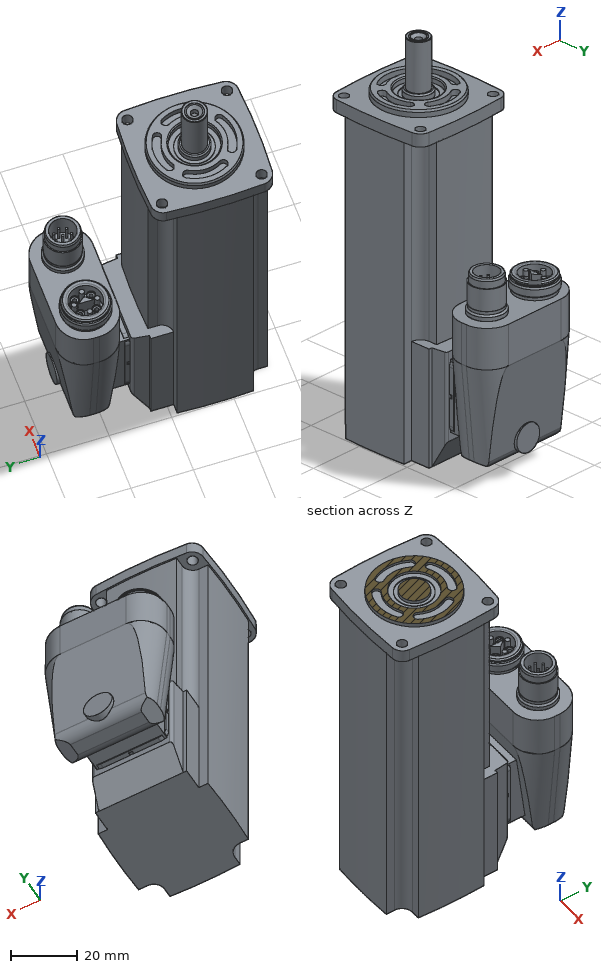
import cadquery as cq
import math


FLANGE_HALF = 20.0
BODY_HALF = 19.5
SIDE_BOW_RADIUS = 200.0
FLANGE_CORNER_RADIUS = 4.0
SHAFT_END_Z = 134.0
SHAFT_LENGTH = 20.0
FLANGE_TOP_Z = SHAFT_END_Z - SHAFT_LENGTH
FLANGE_THICKNESS = 4.5
FLANGE_BOTTOM_Z = FLANGE_TOP_Z - FLANGE_THICKNESS
BOLT_CIRCLE_DIAMETER = 45.0
BOLT_OFFSET = BOLT_CIRCLE_DIAMETER / 2 / math.sqrt(2)
BOLT_HOLE_DIAMETER = 3.4
NOTCH_INNER = 12.2
NOTCH_RADIUS = 3.8

PILOT_DIAMETER = 30.0
PILOT_HEIGHT = 2.5
PILOT_TOP_Z = FLANGE_TOP_Z + PILOT_HEIGHT
PILOT_CHAMFER_HEIGHT = 0.75
PILOT_CHAMFER_WIDTH = 0.4
RECESS_DIAMETER = 16.0
RECESS_DEPTH = 2.0
RECESS_CHAMFER = 0.4
SEAL_DIAMETER = 12.6
SEAL_DEPTH = 0.3
SLOT_RADIUS = 11.5
SLOT_WIDTH = 2.8
SLOT_HALF_ANGLE = 30.0
SLOT_DEPTH = 2.0

SHAFT_DIAMETER = 8.0
SHAFT_CHAMFER = 0.2
COLLAR_DIAMETER = 10.0
COLLAR_TOP_Z = PILOT_TOP_Z
COLLAR_CHAMFER = 0.5
CENTRE_HOLE_DIAMETER = 2.46
CENTRE_HOLE_DEPTH = 3.0
DRILL_POINT_ANGLE = 118.0
DRILL_POINT_HEIGHT = CENTRE_HOLE_DIAMETER / 2 / math.tan(math.radians(DRILL_POINT_ANGLE / 2))
COUNTERSINK_DIAMETER = 5.0
COUNTERSINK_DEPTH = 0.8
END_RECESS_DIAMETER = 6.0
END_RECESS_DEPTH = 0.2

BOX_TOP_Z = 40.5
BOX_FACE_Y = 25.0
BOX_FACE_HALF = 14.0
BOX_BASE_HALF = 14.7
BOX_CORNER_RADIUS = 1.0
BOX_CHAMFER_TOP_Z = 10.0
NOTCH_FILLER_HALF = 15.9

NECK_CENTRE_Z = 25.2
RING_WIDTH = 25.5
RING_HEIGHT = 25.6
RING_CORNER_RADIUS = 2.8
RING_THICKNESS = 1.6
RING_KEYWAY_WIDTH = 1.2
RING_KEYWAY_LENGTH = 0.9
RING_KEYWAY_DEPTH = 0.2
NECK_WIDTH = 24.4
NECK_HEIGHT = 24.8

HOUSING_WIDTH = 41.0
HOUSING_DEPTH = 20.0
HOUSING_CORNER_RADIUS = 9.0
OVERALL_DEPTH = 68.42
HOUSING_BACK_Y = OVERALL_DEPTH - FLANGE_HALF
HOUSING_Y = HOUSING_BACK_Y - HOUSING_DEPTH / 2
HOUSING_TOP_Z = 57.6
TAPER_START_Z = 43.5
TAPER_END_Z = 7.6
TIP_WIDTH = 33.8
TIP_DEPTH = 10.9
TIP_SIDE_CUT_HEIGHT = 2.0
TIP_SIDE_CUT_LENGTH = 4.5
TIP_ROUND_RADIUS = 3.2
BOSS_DIAMETER = 10.0
BOSS_FACE_Y = 45.7
BOSS_CENTRE_Z = 13.8

CONNECTOR_X = 10.5
CONNECTOR_EMBED = 0.5
POWER_TOP_Z = 63.7
POWER_BASE_DIAMETER = 14.77
POWER_COLLAR_DIAMETER = 16.0
POWER_COLLAR_BOTTOM_Z = 59.2
POWER_COLLAR_TOP_Z = 61.6
POWER_COLLAR_CHAMFER = 0.6
POWER_SHOULDER_DIAMETER = 15.2
POWER_GROOVE_DIAMETER = 14.0
POWER_GROOVE_WIDTH = 0.6
POWER_RIM_DIAMETER = 15.0
POWER_RIM_TOP_DIAMETER = 14.0
POWER_RIM_CHAMFER = 0.4
POWER_BORE_DIAMETER = 10.77
POWER_BORE_MOUTH_DIAMETER = 12.0
POWER_BORE_CHAMFER_HEIGHT = 0.2
POWER_FLOOR_Z = 58.5
POWER_CONTACT_RADIUS = 3.7
POWER_PIN_DIAMETER = 1.65
POWER_PIN_TOP_Z = 63.0
POWER_SOCKET_DIAMETER = 2.8
POWER_SOCKET_MOUTH_DIAMETER = 2.46
POWER_SOCKET_MOUTH_DEPTH = 0.5
POWER_SOCKET_BORE = 1.25
POWER_SOCKET_TOP_Z = 61.5
POST_FLAT_X = -0.4
POST_POINT_X = 1.5
POST_HALF_LENGTH = 2.6
POST_TOP_Z = 63.4
SIGNAL_TOP_Z = 71.7
SIGNAL_NECK_DIAMETER = 11.8
SIGNAL_COLLAR_DIAMETER = 13.0
SIGNAL_COLLAR_BOTTOM_Z = 57.9
SIGNAL_COLLAR_TOP_Z = 59.3
SIGNAL_COLLAR_CHAMFER = 0.6
SIGNAL_BODY_DIAMETER = 12.0
SIGNAL_BODY_BOTTOM_Z = 61.0
SIGNAL_BODY_TOP_Z = 68.6
SIGNAL_NOSE_DIAMETER = 11.2
SIGNAL_NOSE_TOP_DIAMETER = 10.6
SIGNAL_NOSE_CHAMFER = 0.7
SIGNAL_BORE_DIAMETER = 8.6
SIGNAL_FLOOR_Z = 64.0
SIGNAL_PIN_DIAMETER = 0.8
SIGNAL_PIN_TOP_Z = 69.0
SIGNAL_PIN_RADIUS = 2.75
SIGNAL_PIN_COUNT = 7
SIGNAL_FIRST_PIN_ANGLE = 8.0


def cylinder(x, y, bottom_z, top_z, diameter):
    return cq.Workplane("XY", origin=(x, y, bottom_z)).circle(diameter / 2).extrude(top_z - bottom_z)


def turned(profile, x=0.0, y=0.0):
    """Revolve (diameter, z) points around the vertical axis through (x, y)."""
    outline = [(diameter / 2, z) for diameter, z in profile]
    if profile[0][0] > 0:
        outline.insert(0, (0, profile[0][1]))
    outline.append((0, profile[-1][1]))
    solid = cq.Workplane("XZ").polyline(outline).close().revolve(360, (0, 0), (0, 1))
    return solid.translate((x, y, 0))


def ring_points(centre_x, centre_y, radius, count, first_angle):
    points = []
    for index in range(count):
        angle = math.radians(first_angle + 360 * index / count)
        points.append((centre_x + radius * math.cos(angle), centre_y + radius * math.sin(angle)))
    return points


def bowed_square(half, bottom_z, top_z):
    """Square block whose four sides bulge outward to the given half width."""
    inset = half - SIDE_BOW_RADIUS
    corner = (inset + math.sqrt(2 * SIDE_BOW_RADIUS**2 - inset**2)) / 2
    outline = (
        cq.Workplane("XY", origin=(0, 0, bottom_z))
        .moveTo(-corner, -corner)
        .threePointArc((0, -half), (corner, -corner))
        .threePointArc((half, 0), (corner, corner))
        .threePointArc((0, half), (-corner, corner))
        .threePointArc((-half, 0), (-corner, -corner))
        .close()
    )
    return outline.extrude(top_z - bottom_z)


def make_body():
    body = bowed_square(BODY_HALF, 0, FLANGE_BOTTOM_Z)
    notch_size = FLANGE_HALF
    notch_centre = NOTCH_INNER + notch_size / 2
    notch = cq.Workplane("XY").rect(notch_size, notch_size).extrude(FLANGE_BOTTOM_Z)
    notch = notch.edges("|Z").fillet(NOTCH_RADIUS)
    for x_side in (-1, 1):
        for y_side in (-1, 1):
            body = body.cut(notch.translate((x_side * notch_centre, y_side * notch_centre, 0)))
    return body


def make_flange():
    flange = bowed_square(FLANGE_HALF, FLANGE_BOTTOM_Z, FLANGE_TOP_Z)
    flange = flange.edges("|Z").fillet(FLANGE_CORNER_RADIUS)
    pilot = turned(
        [
            (PILOT_DIAMETER, FLANGE_TOP_Z),
            (PILOT_DIAMETER, PILOT_TOP_Z - PILOT_CHAMFER_HEIGHT),
            (PILOT_DIAMETER - 2 * PILOT_CHAMFER_WIDTH, PILOT_TOP_Z),
        ]
    )
    flange = flange.union(pilot)
    for x_side in (-1, 1):
        for y_side in (-1, 1):
            hole = cylinder(
                x_side * BOLT_OFFSET, y_side * BOLT_OFFSET, FLANGE_BOTTOM_Z, FLANGE_TOP_Z, BOLT_HOLE_DIAMETER
            )
            flange = flange.cut(hole)
    return flange.cut(face_recess()).cut(face_slots())


def face_recess():
    """Round recess around the shaft, with a slightly lower seal seat in its floor."""
    floor_z = PILOT_TOP_Z - RECESS_DEPTH
    recess = turned(
        [
            (RECESS_DIAMETER, floor_z),
            (RECESS_DIAMETER, PILOT_TOP_Z - RECESS_CHAMFER),
            (RECESS_DIAMETER + 2 * RECESS_CHAMFER, PILOT_TOP_Z),
        ]
    )
    return recess.union(cylinder(0, 0, floor_z - SEAL_DEPTH, floor_z, SEAL_DIAMETER))


def face_slots():
    """Four curved slots with round ends."""
    def polar(radius, angle):
        return (radius * math.cos(math.radians(angle)), radius * math.sin(math.radians(angle)))

    outer = SLOT_RADIUS + SLOT_WIDTH / 2
    inner = SLOT_RADIUS - SLOT_WIDTH / 2
    cap_angle = math.degrees(SLOT_WIDTH / 2 / SLOT_RADIUS)
    slot = (
        cq.Workplane("XY", origin=(0, 0, PILOT_TOP_Z - SLOT_DEPTH))
        .moveTo(*polar(outer, -SLOT_HALF_ANGLE))
        .threePointArc(polar(outer, 0), polar(outer, SLOT_HALF_ANGLE))
        .threePointArc(polar(SLOT_RADIUS, SLOT_HALF_ANGLE + cap_angle), polar(inner, SLOT_HALF_ANGLE))
        .threePointArc(polar(inner, 0), polar(inner, -SLOT_HALF_ANGLE))
        .threePointArc(polar(SLOT_RADIUS, -SLOT_HALF_ANGLE - cap_angle), polar(outer, -SLOT_HALF_ANGLE))
        .close()
        .extrude(SLOT_DEPTH)
    )
    slots = slot
    for quarter in (1, 2, 3):
        slots = slots.union(slot.rotate((0, 0, 0), (0, 0, 1), 90 * quarter))
    return slots


def make_shaft():
    shaft = turned(
        [
            (COLLAR_DIAMETER, FLANGE_BOTTOM_Z),
            (COLLAR_DIAMETER, COLLAR_TOP_Z - COLLAR_CHAMFER),
            (COLLAR_DIAMETER - 2 * COLLAR_CHAMFER, COLLAR_TOP_Z),
            (SHAFT_DIAMETER, COLLAR_TOP_Z),
            (SHAFT_DIAMETER, SHAFT_END_Z - SHAFT_CHAMFER),
            (SHAFT_DIAMETER - 2 * SHAFT_CHAMFER, SHAFT_END_Z),
        ]
    )
    recess_floor_z = SHAFT_END_Z - END_RECESS_DEPTH
    hole_floor_z = SHAFT_END_Z - CENTRE_HOLE_DEPTH
    centre_hole = turned(
        [
            (0, hole_floor_z - DRILL_POINT_HEIGHT),
            (CENTRE_HOLE_DIAMETER, hole_floor_z),
            (CENTRE_HOLE_DIAMETER, recess_floor_z - COUNTERSINK_DEPTH),
            (COUNTERSINK_DIAMETER, recess_floor_z),
            (END_RECESS_DIAMETER, recess_floor_z),
            (END_RECESS_DIAMETER, SHAFT_END_Z),
        ]
    )
    return shaft.cut(centre_hole)


def make_terminal_box():
    box = (
        cq.Workplane("XY")
        .polyline(
            [
                (-BOX_BASE_HALF, NOTCH_INNER),
                (BOX_BASE_HALF, NOTCH_INNER),
                (BOX_BASE_HALF, BODY_HALF),
                (BOX_FACE_HALF, BOX_FACE_Y),
                (-BOX_FACE_HALF, BOX_FACE_Y),
                (-BOX_BASE_HALF, BODY_HALF),
            ]
        )
        .close()
        .extrude(BOX_TOP_Z)
        .edges("|Z and >Y")
        .fillet(BOX_CORNER_RADIUS)
    )
    rear_wedge = (
        cq.Workplane("YZ")
        .polyline([(BODY_HALF, 0), (BOX_FACE_Y, BOX_CHAMFER_TOP_Z), (BOX_FACE_Y, 0)])
        .close()
        .extrude(HOUSING_WIDTH / 2, both=True)
    )
    filler_depth = BODY_HALF - NOTCH_INNER
    filler = cq.Workplane("XY").box(
        2 * NOTCH_FILLER_HALF, filler_depth, BOX_TOP_Z, centered=(True, False, False)
    )
    return box.cut(rear_wedge).union(filler.translate((0, NOTCH_INNER, 0)))


def make_neck():
    def block(width, height, start_y, end_y):
        plane = cq.Workplane("XZ", origin=(0, start_y, NECK_CENTRE_Z))
        return plane.rect(width, height).extrude(start_y - end_y)

    ring = block(RING_WIDTH, RING_HEIGHT, BOX_FACE_Y, BOX_FACE_Y + RING_THICKNESS)
    ring = ring.edges("|Y").fillet(RING_CORNER_RADIUS)

    keyway_end_y = BOX_FACE_Y + RING_KEYWAY_LENGTH
    keyway_bars = block(RING_WIDTH, RING_KEYWAY_WIDTH, BOX_FACE_Y, keyway_end_y)
    keyway_bars = keyway_bars.union(block(RING_KEYWAY_WIDTH, RING_HEIGHT, BOX_FACE_Y, keyway_end_y))
    keyway_core = block(
        RING_WIDTH - 2 * RING_KEYWAY_DEPTH, RING_HEIGHT - 2 * RING_KEYWAY_DEPTH, BOX_FACE_Y, keyway_end_y
    )
    ring = ring.cut(keyway_bars.cut(keyway_core))
    return ring.union(block(NECK_WIDTH, NECK_HEIGHT, BOX_FACE_Y, HOUSING_Y))


def make_housing():
    outline = cq.Sketch().rect(HOUSING_WIDTH, HOUSING_DEPTH).vertices().fillet(HOUSING_CORNER_RADIUS)
    start = (0, HOUSING_Y, TAPER_START_Z)
    upper = cq.Workplane("XY", origin=start).placeSketch(outline).extrude(HOUSING_TOP_Z - TAPER_START_Z)

    taper_height = TAPER_START_Z - TAPER_END_Z
    end_inset = (HOUSING_WIDTH - TIP_WIDTH) / 2
    lean_width = HOUSING_WIDTH * math.cos(math.atan2(end_inset, taper_height))
    lean_outline = cq.Sketch().rect(lean_width, HOUSING_DEPTH).vertices().fillet(HOUSING_CORNER_RADIUS)
    lower = cq.Workplane("XY", origin=start).rect(HOUSING_WIDTH, HOUSING_DEPTH).extrude(-taper_height)
    for lean in (end_inset, -end_inset):
        plane = cq.Plane(origin=start, xDir=(taper_height, 0, lean), normal=(-lean, 0, taper_height))
        prism = cq.Workplane(plane).placeSketch(lean_outline).extrude(2 * taper_height, both=True)
        lower = lower.intersect(prism)

    side_inset = (HOUSING_DEPTH - TIP_DEPTH) / 2
    for side in (-1, 1):
        side_y = HOUSING_Y + side * HOUSING_DEPTH / 2
        side_wedge = (
            cq.Workplane("YZ")
            .moveTo(side_y, TAPER_START_Z)
            .lineTo(side_y - side * side_inset, TAPER_END_Z)
            .lineTo(side_y, TAPER_END_Z)
            .close()
            .extrude(HOUSING_WIDTH / 2, both=True)
        )
        lower = lower.cut(side_wedge)

    bevel_slope = TIP_SIDE_CUT_HEIGHT / TIP_SIDE_CUT_LENGTH
    bevel_start_x = TIP_WIDTH / 2 - TIP_SIDE_CUT_LENGTH
    bevel_end_x = HOUSING_WIDTH / 2
    bevel_end_z = TAPER_END_Z + bevel_slope * (bevel_end_x - bevel_start_x)
    bevel = (
        cq.Workplane("XZ", origin=(0, HOUSING_Y, 0))
        .polyline([(bevel_start_x, TAPER_END_Z), (bevel_end_x, bevel_end_z), (bevel_end_x, TAPER_END_Z)])
        .close()
        .extrude(HOUSING_DEPTH / 2, both=True)
    )
    lower = lower.cut(bevel).cut(bevel.mirror("YZ"))

    wall_slope = (HOUSING_DEPTH - TIP_DEPTH) / 2 / taper_height
    for side in (-1, 1):
        edge_y = HOUSING_Y + side * TIP_DEPTH / 2
        wall_y = edge_y + side * TIP_ROUND_RADIUS * wall_slope
        diagonal = TIP_ROUND_RADIUS * (1 - math.sqrt(0.5))
        round_cut = (
            cq.Workplane("YZ")
            .moveTo(edge_y - side * TIP_ROUND_RADIUS, TAPER_END_Z)
            .threePointArc(
                (edge_y - side * diagonal, TAPER_END_Z + diagonal),
                (wall_y, TAPER_END_Z + TIP_ROUND_RADIUS),
            )
            .lineTo(wall_y, TAPER_END_Z)
            .close()
            .extrude(HOUSING_WIDTH / 2, both=True)
        )
        lower = lower.cut(round_cut)

    boss = (
        cq.Workplane("XZ", origin=(0, BOSS_FACE_Y, BOSS_CENTRE_Z))
        .circle(BOSS_DIAMETER / 2)
        .extrude(BOSS_FACE_Y - HOUSING_Y)
    )
    return upper.union(lower).union(boss)


def make_power_connector():
    """Large round plug with a ring of pins and sockets around a keying post."""
    x = -CONNECTOR_X
    groove_bottom_z = POWER_COLLAR_TOP_Z + POWER_COLLAR_CHAMFER
    groove_top_z = groove_bottom_z + POWER_GROOVE_WIDTH
    shell = turned(
        [
            (POWER_BASE_DIAMETER, HOUSING_TOP_Z - CONNECTOR_EMBED),
            (POWER_BASE_DIAMETER, POWER_COLLAR_BOTTOM_Z - POWER_COLLAR_CHAMFER),
            (POWER_COLLAR_DIAMETER, POWER_COLLAR_BOTTOM_Z),
            (POWER_COLLAR_DIAMETER, POWER_COLLAR_TOP_Z),
            (POWER_SHOULDER_DIAMETER, groove_bottom_z),
            (POWER_GROOVE_DIAMETER, groove_bottom_z),
            (POWER_GROOVE_DIAMETER, groove_top_z),
            (POWER_RIM_DIAMETER, groove_top_z),
            (POWER_RIM_DIAMETER, POWER_TOP_Z - POWER_RIM_CHAMFER),
            (POWER_RIM_TOP_DIAMETER, POWER_TOP_Z),
        ],
        x,
        HOUSING_Y,
    )
    bore = turned(
        [
            (POWER_BORE_DIAMETER, POWER_FLOOR_Z),
            (POWER_BORE_DIAMETER, POWER_TOP_Z - POWER_BORE_CHAMFER_HEIGHT),
            (POWER_BORE_MOUTH_DIAMETER, POWER_TOP_Z),
        ],
        x,
        HOUSING_Y,
    )
    post = (
        cq.Workplane("XY", origin=(x, HOUSING_Y, HOUSING_TOP_Z))
        .polyline([(POST_FLAT_X, -POST_HALF_LENGTH), (POST_POINT_X, 0), (POST_FLAT_X, POST_HALF_LENGTH)])
        .close()
        .extrude(POST_TOP_Z - HOUSING_TOP_Z)
    )
    connector = shell.cut(bore).union(post)
    for pin_x, pin_y in ring_points(x, HOUSING_Y, POWER_CONTACT_RADIUS, 4, 0):
        connector = connector.union(
            cylinder(pin_x, pin_y, HOUSING_TOP_Z, POWER_PIN_TOP_Z, POWER_PIN_DIAMETER)
        )
    sockets = ring_points(x, HOUSING_Y, POWER_CONTACT_RADIUS, 4, 45)
    for socket_x, socket_y in sockets:
        connector = connector.union(
            cylinder(socket_x, socket_y, HOUSING_TOP_Z, POWER_SOCKET_TOP_Z, POWER_SOCKET_DIAMETER)
        )
    mouth_floor_z = POWER_SOCKET_TOP_Z - POWER_SOCKET_MOUTH_DEPTH
    for socket_x, socket_y in sockets:
        socket_bore = turned(
            [
                (POWER_SOCKET_BORE, POWER_FLOOR_Z),
                (POWER_SOCKET_BORE, mouth_floor_z),
                (POWER_SOCKET_MOUTH_DIAMETER, mouth_floor_z),
                (POWER_SOCKET_MOUTH_DIAMETER, POWER_SOCKET_TOP_Z),
            ],
            socket_x,
            socket_y,
        )
        connector = connector.cut(socket_bore)
    return connector


def make_signal_connector():
    """Tall round plug with seven pins around a central one."""
    x = CONNECTOR_X
    shell = turned(
        [
            (SIGNAL_NECK_DIAMETER, HOUSING_TOP_Z - CONNECTOR_EMBED),
            (SIGNAL_NECK_DIAMETER, SIGNAL_COLLAR_BOTTOM_Z),
            (SIGNAL_COLLAR_DIAMETER, SIGNAL_COLLAR_BOTTOM_Z),
            (SIGNAL_COLLAR_DIAMETER, SIGNAL_COLLAR_TOP_Z),
            (SIGNAL_NECK_DIAMETER, SIGNAL_COLLAR_TOP_Z + SIGNAL_COLLAR_CHAMFER),
            (SIGNAL_NECK_DIAMETER, SIGNAL_BODY_BOTTOM_Z),
            (SIGNAL_BODY_DIAMETER, SIGNAL_BODY_BOTTOM_Z),
            (SIGNAL_BODY_DIAMETER, SIGNAL_BODY_TOP_Z),
            (SIGNAL_NOSE_DIAMETER, SIGNAL_BODY_TOP_Z),
            (SIGNAL_NOSE_DIAMETER, SIGNAL_TOP_Z - SIGNAL_NOSE_CHAMFER),
            (SIGNAL_NOSE_TOP_DIAMETER, SIGNAL_TOP_Z),
        ],
        x,
        HOUSING_Y,
    )
    connector = shell.cut(cylinder(x, HOUSING_Y, SIGNAL_FLOOR_Z, SIGNAL_TOP_Z, SIGNAL_BORE_DIAMETER))
    pins = ring_points(x, HOUSING_Y, SIGNAL_PIN_RADIUS, SIGNAL_PIN_COUNT, SIGNAL_FIRST_PIN_ANGLE)
    pins.append((x, HOUSING_Y))
    for pin_x, pin_y in pins:
        connector = connector.union(
            cylinder(pin_x, pin_y, HOUSING_TOP_Z, SIGNAL_PIN_TOP_Z, SIGNAL_PIN_DIAMETER)
        )
    return connector


result = (
    make_body()
    .union(make_flange())
    .union(make_shaft())
    .union(make_terminal_box())
    .union(make_neck())
    .union(make_housing())
    .union(make_power_connector())
    .union(make_signal_connector())
)